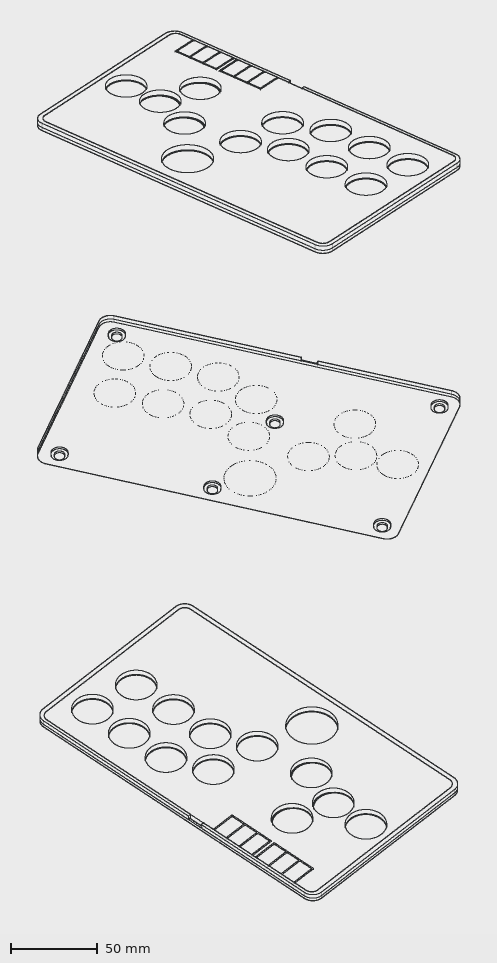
import cadquery as cq


length = 218.0
width = 126.5
height = 7.6
corner_radius = 7.0
case_height = 5.0
cover_height = 2.8
rim_width = 2.8
back_rim_width = 2.0
panel_corner_radius = 4.8
panel_recess = 0.2
panel_thickness = 3.5

base_wall = 1.3

button_diameter = 24.0
thumb_button_diameter = 30.0
pocket_depth = 0.7
straight_buttons = [
    (-90.5, -1.3),
    (4.0, 25.7),
    (-1.7, -5.2),
    (30.5, 37.0),
    (59.3, 37.0),
    (88.0, 37.0),
    (24.9, 5.7),
    (53.6, 5.7),
    (82.8, 5.7),
]
shifted_buttons = [(-56.0, 24.0), (-65.0, -1.3), (-39.2, -10.5)]
pocket_shift = (-0.5, -0.5)
thumb_button = (-13.5, -38.8)

tab_pitch = 10.0
tabs_per_group = 3
tab_group_starts = [-92.2, -59.3]
tab_end_y = 45.8
slit_width = 0.9

connector_x = -16.1
connector_width = 10.0

foot_diameter = 10.0
foot_height = 1.3
pad_diameter = 6.0
foot_places = [
    (-97.7, 54.0),
    (97.5, 54.0),
    (-97.7, -51.9),
    (97.5, -51.9),
    (5.0, -51.9),
    (-11.8, 12.5),
]

top_z = height / 2
bottom_z = -height / 2
seam_z = top_z - cover_height
base_bottom_z = top_z - case_height
foot_bottom_z = base_bottom_z - foot_height
panel_z = top_z - panel_recess
plug_z = panel_z - panel_thickness
pocket_z = plug_z - pocket_depth
panel_back_y = width / 2 - back_rim_width
panel_front_y = rim_width - width / 2


def rounded_slab(inset, low_z, high_z):
    """A centred plate whose rounded outline lies inset from the outer one."""
    plane = cq.Workplane("XY", origin=(0, 0, low_z))
    slab = plane.rect(length - 2 * inset, width - 2 * inset).extrude(high_z - low_z)
    return slab.edges("|Z").fillet(corner_radius - inset)


def box_between(low_x, high_x, low_y, high_y, low_z, high_z):
    """A box given by its limits along each axis."""
    size = (high_x - low_x, high_y - low_y, high_z - low_z)
    return cq.Workplane("XY", origin=(low_x, low_y, low_z)).box(*size, centered=False)


def discs(places, diameter, low_z, high_z):
    """Upright cylinders of one diameter at several places."""
    plane = cq.Workplane("XY", origin=(0, 0, low_z))
    return plane.pushPoints(places).circle(diameter / 2).extrude(high_z - low_z)


def panel_recess_cut():
    """The space above the panel, inside the rim, which is narrower at the back."""
    half = length / 2 - rim_width
    recess = box_between(-half, half, panel_front_y, panel_back_y, panel_z, top_z)
    return recess.edges("|Z").fillet(panel_corner_radius)


def tab_slits(start_x):
    """The slits around one group of tabs: one beside each tab and one along the tab ends."""
    half = slit_width / 2
    end_x = start_x + tabs_per_group * tab_pitch
    slits = box_between(start_x - half, end_x + half, tab_end_y - half, tab_end_y + half, plug_z, top_z)
    for index in range(tabs_per_group + 1):
        x = start_x + index * tab_pitch
        slits = slits.union(box_between(x - half, x + half, tab_end_y, panel_back_y, plug_z, top_z))
    return slits


def connector_notch():
    """The opening through the back rim and the plug behind it."""
    half = connector_width / 2
    return box_between(connector_x - half, connector_x + half, panel_back_y, width / 2, plug_z, top_z)


def make_cover():
    """The upper body: a rim around a recessed panel with the button holes and the tabs."""
    cover = rounded_slab(0, seam_z, top_z).union(rounded_slab(base_wall, plug_z, seam_z))
    cover = cover.cut(panel_recess_cut())
    cover = cover.cut(discs(straight_buttons + shifted_buttons, button_diameter, plug_z, top_z))
    cover = cover.cut(discs([thumb_button], thumb_button_diameter, plug_z, top_z))
    for start_x in tab_group_starts:
        cover = cover.cut(tab_slits(start_x))
    return cover.cut(connector_notch())


def make_base():
    """The lower body: a tray with shallow button pockets in its floor and stepped feet below."""
    base = rounded_slab(0, base_bottom_z, seam_z).cut(rounded_slab(base_wall, plug_z, seam_z))
    shift_x, shift_y = pocket_shift
    shifted_pockets = [(x + shift_x, y + shift_y) for x, y in shifted_buttons]
    base = base.cut(discs(straight_buttons + shifted_pockets, button_diameter, pocket_z, plug_z))
    base = base.cut(discs([thumb_button], thumb_button_diameter, pocket_z, plug_z))
    base = base.union(discs(foot_places, foot_diameter, foot_bottom_z, base_bottom_z))
    return base.union(discs(foot_places, pad_diameter, bottom_z, foot_bottom_z))


cover = make_cover()
base = make_base()

result = cq.Compound.makeCompound([cover.val(), base.val()])